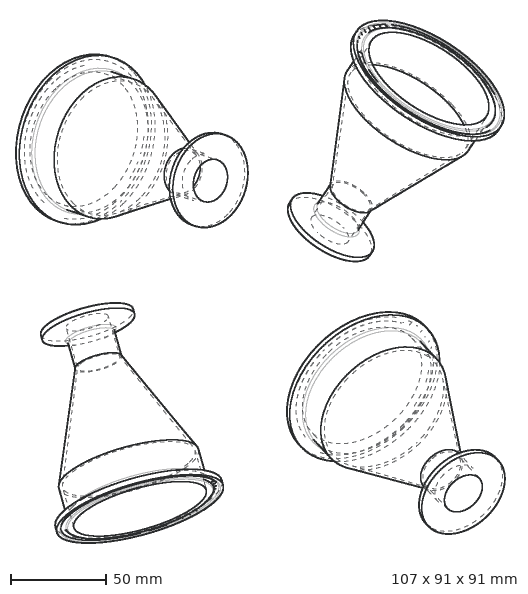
import cadquery as cq
import math

length = 107.0
rim_thickness = 3.0
flange_slope = math.tan(math.radians(70))
neck_fillet = 1.6

large_flange_radius = 91.0 / 2
large_tube_radius = 76.3 / 2
large_bore_radius = 72.3 / 2

small_flange_radius = 50.5 / 2
small_tube_radius = 25.4 / 2
small_bore_radius = 23.0 / 2

cone_start = 23.0
cone_end = 83.9

groove_centre_radius = 41.6
groove_radius = 1.4
groove_lip_fillet = 0.9

large_neck_x = rim_thickness + (large_flange_radius - large_tube_radius) / flange_slope
small_rim_x = length - rim_thickness
small_neck_x = small_rim_x - (small_flange_radius - small_tube_radius) / flange_slope


def turn(profile):
    """Revolve an (x, radius) profile about the X axis."""
    return profile.close().revolve(360, (0, 0, 0), (1, 0, 0))


position_tolerance = 0.01


def circles_at(body, x, max_radius, min_radius=0):
    """Select circular edges in the plane at x whose radius is in the given range."""
    return body.edges("%CIRCLE").filter(
        lambda edge: abs(edge.Center().x - x) < position_tolerance and min_radius < edge.radius() < max_radius
    )


def make_body():
    """Outside of the reducer, with rounded corners where the flanges meet the tubes."""
    body = turn(
        cq.Workplane("XY")
        .moveTo(0, 0)
        .lineTo(0, large_flange_radius)
        .lineTo(rim_thickness, large_flange_radius)
        .lineTo(large_neck_x, large_tube_radius)
        .lineTo(cone_start, large_tube_radius)
        .lineTo(cone_end, small_tube_radius)
        .lineTo(small_neck_x, small_tube_radius)
        .lineTo(small_rim_x, small_flange_radius)
        .lineTo(length, small_flange_radius)
        .lineTo(length, 0)
    )
    for neck_x in (large_neck_x, small_neck_x):
        body = circles_at(body, neck_x, large_flange_radius).fillet(neck_fillet)
    return body


def make_bore():
    """Through passage that tapers along with the outer cone."""
    return turn(
        cq.Workplane("XY")
        .moveTo(0, 0)
        .lineTo(0, large_bore_radius)
        .lineTo(cone_start, large_bore_radius)
        .lineTo(cone_end, small_bore_radius)
        .lineTo(length, small_bore_radius)
        .lineTo(length, 0)
    )


def cut_gasket_groove(body):
    """Round-bottomed ring groove in the large face, with rounded lips."""
    ring = turn(
        cq.Workplane("XY")
        .moveTo(0, groove_centre_radius - groove_radius)
        .threePointArc((groove_radius, groove_centre_radius), (0, groove_centre_radius + groove_radius))
    )
    lip_search = 2 * groove_radius
    lips = circles_at(
        body.cut(ring), 0, groove_centre_radius + lip_search, groove_centre_radius - lip_search
    )
    return lips.fillet(groove_lip_fillet)


result = cut_gasket_groove(make_body().cut(make_bore()))